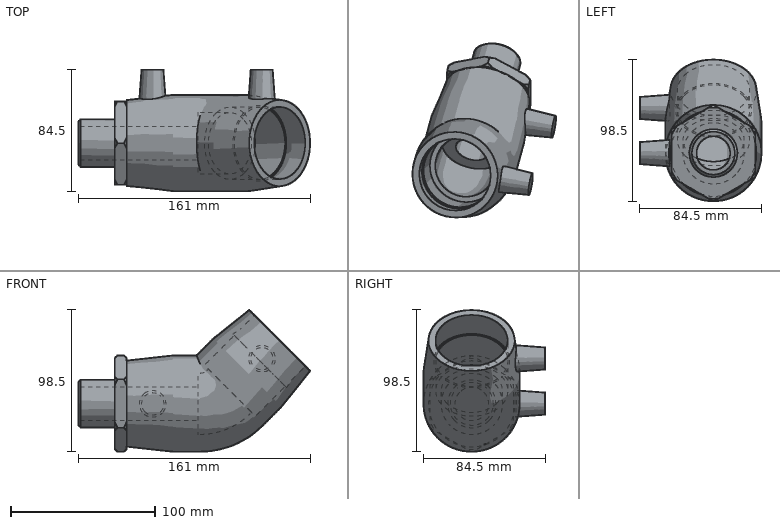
import cadquery as cq
import math

spigot_length = 25.3
spigot_radius = 33.3 / 2
spigot_bore_radius = 23.3 / 2
spigot_chamfer = 1.8
hex_length = 8.4
hex_corner_diameter = 67.0
hex_chamfer = 2.0
overlap = 1.6

body_start = spigot_length + hex_length
taper_length = 32.0
straight_length = 18.8
body_radius = hex_corner_diameter / 2
taper_end_radius = 30.0
bend_radius = 27.7
bend_angle = 45
bend_start = body_start + taper_length + straight_length
arm_length = straight_length + 31.7

passage_radius = 42.5 / 2
passage_lip = 1.5
socket_radius = 50.0 / 2
groove_start = 13.2
groove_end = 19.8
groove_depth = 1.3

terminal_tip_radius = 7.7
terminal_root_radius = 9.5
terminal_root_y = 27.4
terminal_tip_y = 51.0
terminal_body_x = 51.5
terminal_arm_distance = 32.8

angle = math.radians(bend_angle)
arm_origin = (
    bend_start + bend_radius * math.sin(angle),
    0,
    bend_radius * (1 - math.cos(angle)),
)
arm_direction = (math.cos(angle), 0, math.sin(angle))
body_plane = cq.Plane(origin=(0, 0, 0), xDir=(1, 0, 0), normal=(0, -1, 0))
arm_plane = cq.Plane(origin=arm_origin, xDir=arm_direction, normal=(0, -1, 0))


def turned(plane, outline):
    """Revolve (distance, radius) points about the plane's local X axis."""
    start = (outline[0][0], 0)
    end = (outline[-1][0], 0)
    points = [start] + outline + [end]
    return cq.Workplane(plane).polyline(points).close().revolve(360, (0, 0), (1, 0))


def bend(radius):
    """Sweep a disc around the bend, keeping only the part outside the bend axis."""
    section = cq.Sketch().circle(radius)
    clear_height = body_radius
    section = section.push([(0, bend_radius + clear_height / 2)])
    section = section.rect(2 * body_radius, clear_height, mode="s").reset()
    return (
        cq.Workplane("YZ", origin=(bend_start, 0, 0))
        .placeSketch(section)
        .revolve(bend_angle, (0, bend_radius), (-1, bend_radius))
    )


def hexagon():
    """Hexagon with corners at top and bottom, chamfered by turning."""
    prism = (
        cq.Workplane("YZ", origin=(spigot_length, 0, 0))
        .transformed(rotate=(0, 0, 90))
        .polygon(6, hex_corner_diameter)
        .extrude(hex_length)
    )
    corner = hex_corner_diameter / 2
    envelope = turned(body_plane, [
        (spigot_length, corner - hex_chamfer),
        (spigot_length + hex_chamfer, corner),
        (body_start - hex_chamfer, corner),
        (body_start, corner - hex_chamfer),
    ])
    return prism.intersect(envelope)


def terminal(x, z):
    """Pin shroud pointing along +Y and narrowing towards its tip."""
    cone = cq.Solid.makeCone(
        terminal_root_radius,
        terminal_tip_radius,
        terminal_tip_y - terminal_root_y,
        pnt=cq.Vector(x, terminal_root_y, z),
        dir=cq.Vector(0, 1, 0),
    )
    return cq.Workplane(cone)


spigot = turned(body_plane, [
    (0, spigot_radius - spigot_chamfer),
    (spigot_chamfer, spigot_radius),
    (spigot_length + overlap, spigot_radius),
])
body = turned(body_plane, [
    (body_start, taper_end_radius),
    (body_start + taper_length, body_radius),
    (bend_start, body_radius),
])
arm = turned(arm_plane, [
    (0, body_radius),
    (straight_length, body_radius),
    (arm_length, taper_end_radius),
])
outside = body.union(bend(body_radius)).union(arm).union(hexagon()).union(spigot)

terminal_arm_x = arm_origin[0] + terminal_arm_distance * arm_direction[0]
terminal_arm_z = arm_origin[2] + terminal_arm_distance * arm_direction[2]
outside = outside.union(terminal(terminal_body_x, 0))
outside = outside.union(terminal(terminal_arm_x, terminal_arm_z))

spigot_passage = turned(body_plane, [
    (0, spigot_bore_radius),
    (bend_start - passage_lip, spigot_bore_radius),
    (bend_start - passage_lip, passage_radius),
    (bend_start, passage_radius),
])

socket = turned(arm_plane, [
    (0, passage_radius),
    (passage_lip, passage_radius),
    (passage_lip, socket_radius),
    (arm_length - groove_end, socket_radius),
    (arm_length - groove_end, socket_radius + groove_depth),
    (arm_length - groove_start, socket_radius),
    (arm_length, socket_radius),
])
result = outside.cut(spigot_passage.union(bend(passage_radius)).union(socket))